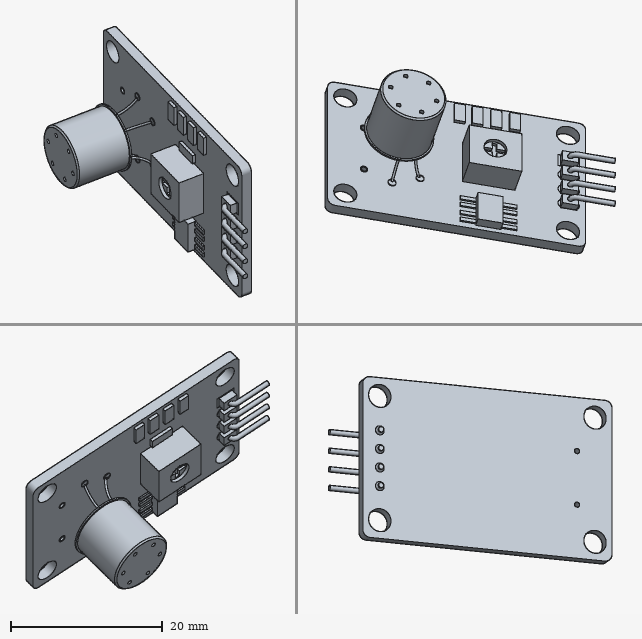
import cadquery as cq
import math


board_width = 35.0
board_height = 22.0
board_thickness = 1.5
corner_radius = 1.0
mount_hole_diameter = 3.12
mount_spacing_x = 30.2
mount_spacing_z = 17.0
pad_thickness = 0.02

sensor_x = -8.8
sensor_standoff = 3.78
sensor_front = 11.9
flange_diameter = 9.35
flange_thickness = 0.25
can_diameter = 8.85
can_edge_chamfer = 0.25
vent_count = 6
vent_diameter = 0.58
vent_depth = 0.5
vent_circle_radius = 3.15
vent_start_angle = 50

wire_diameter = 0.3
wire_can_radius = 3.28
wire_can_turn = 4
wire_board_radius = 5.1
terminal_circle_radius = 5.28
side_angle = 44
wired_angles = [90, side_angle, -side_angle, -90]
open_angles = [180 - side_angle, 180 + side_angle]
solder_dot_diameter = 1.08
solder_dot_height = 0.1
open_hole_diameter = 0.7
open_pad_diameter = 1.0

resistor_thickness = 0.45
row_resistor_width = 1.45
row_resistor_top = 10.4
row_resistor_length = 3.0
row_end_resistor_length = 2.9
row_resistor_xs = [0.35, 2.75, 5.28, 7.82]
flat_resistor_x = 4.1
flat_resistor_z = 4.8
flat_resistor_width = 3.4
flat_resistor_height = 1.4

trimmer_x = 4.3
trimmer_z = 0.42
trimmer_width = 7.13
trimmer_height = 6.7
trimmer_depth = 3.8
screw_diameter = 3.1
screw_recess_depth = 0.5
slot_width = 0.6
slot_length_x = 2.85
slot_length_z = 2.5
slot_depth = 0.42

chip_x = 4.28
chip_z = -7.98
chip_width = 3.4
chip_height = 4.75
chip_thickness = 1.27
lead_span = 7.7
lead_width = 0.58
lead_thickness = 0.25
lead_zs = [-6.0, -7.15, -8.65, -9.83]

pin_count = 4
pin_pitch = 2.55
pin_row_z = -0.05
pin_diameter = 0.75
pin_x = 15.1
pin_tip_x = 21.05
pin_back_length = 0.58
pin_front_offset = 1.6
pin_bend_radius = 0.8
block_x = 15.2
block_width = 2.2
block_height = 1.65
block_front = 1.05
header_pad_width = 2.9
square_pad_height = 1.95
slot_pad_height = 1.55
solder_cone_diameter = 1.25
solder_cone_height = 0.35

pin_zs = [pin_row_z + ((pin_count - 1) / 2 - i) * pin_pitch for i in range(pin_count)]


def front_plane(x, z, y=0):
    """Sketch plane facing -Y: its own x is X, its own y is Z and it extrudes toward -Y."""
    return cq.Workplane(cq.Plane(origin=(x, y, z), xDir=(1, 0, 0), normal=(0, -1, 0)))


def back_plane(x, z, y):
    """Sketch plane facing +Y that extrudes toward +Y."""
    return cq.Workplane(cq.Plane(origin=(x, y, z), xDir=(-1, 0, 0), normal=(0, 1, 0)))


def mounted_box(x, z, width, height, thickness):
    """Box standing on the board's front face."""
    return front_plane(x, z).rect(width, height).extrude(thickness)


def around_sensor(radius, angle):
    """X and Z of a point on a circle around the sensor axis."""
    turn = math.radians(angle)
    return sensor_x + radius * math.cos(turn), radius * math.sin(turn)


def make_plate():
    plate = back_plane(0, 0, 0).rect(board_width, board_height).extrude(board_thickness)
    plate = plate.edges("|Y").fillet(corner_radius)
    mount_holes = (
        back_plane(0, 0, 0)
        .rect(mount_spacing_x, mount_spacing_z, forConstruction=True)
        .vertices()
        .circle(mount_hole_diameter / 2)
        .extrude(board_thickness)
    )
    return plate.cut(mount_holes)


def make_sensor():
    """Flanged can with a chamfered front edge and a ring of vents in its front face."""
    back = front_plane(sensor_x, 0, -sensor_standoff)
    flange = back.circle(flange_diameter / 2).extrude(flange_thickness)
    can = (
        back.circle(can_diameter / 2)
        .extrude(sensor_front - sensor_standoff)
        .faces("<Y")
        .chamfer(can_edge_chamfer)
    )
    vents = (
        front_plane(sensor_x, 0, vent_depth - sensor_front)
        .polarArray(vent_circle_radius, vent_start_angle, 360, vent_count)
        .circle(vent_diameter / 2)
        .extrude(vent_depth)
    )
    return flange.union(can).cut(vents)


def make_wire(angle):
    """Wire leaving the can straight along +Y and bending outward in one arc to the board."""
    start_x, start_z = around_sensor(wire_can_radius, angle + wire_can_turn)
    end_x, end_z = around_sensor(wire_board_radius, angle)
    outward = cq.Vector(end_x - start_x, 0, end_z - start_z)
    along = cq.Vector(0, 1, 0)
    start = cq.Vector(start_x, -sensor_standoff, start_z)
    path_plane = cq.Plane(origin=start, xDir=outward, normal=outward.cross(along))
    reach = outward.Length
    bend_radius = (reach**2 + sensor_standoff**2) / (2 * reach)
    bend_angle = math.asin(sensor_standoff / bend_radius)
    middle = (
        bend_radius * (1 - math.cos(bend_angle / 2)),
        bend_radius * math.sin(bend_angle / 2),
    )
    path = cq.Workplane(path_plane).threePointArc(middle, (reach, sensor_standoff))
    return back_plane(start_x, start_z, -sensor_standoff).circle(wire_diameter / 2).sweep(path)


def make_solder_dot(angle):
    x, z = around_sensor(terminal_circle_radius, angle)
    return front_plane(x, z).circle(solder_dot_diameter / 2).extrude(solder_dot_height)


def make_trimmer():
    trimmer = mounted_box(trimmer_x, trimmer_z, trimmer_width, trimmer_height, trimmer_depth)
    recess_floor = screw_recess_depth - trimmer_depth
    recess_plane = front_plane(trimmer_x, trimmer_z, recess_floor)
    recess = recess_plane.circle(screw_diameter / 2).extrude(screw_recess_depth)
    slot_plane = front_plane(trimmer_x, trimmer_z, recess_floor + slot_depth)
    slot_across = slot_plane.rect(slot_length_x, slot_width).extrude(slot_depth)
    slot_upright = slot_plane.rect(slot_width, slot_length_z).extrude(slot_depth)
    return trimmer.cut(recess).cut(slot_across).cut(slot_upright)


def make_chip():
    chip = mounted_box(chip_x, chip_z, chip_width, chip_height, chip_thickness)
    for z in lead_zs:
        chip = chip.union(mounted_box(chip_x, z, lead_span, lead_width, lead_thickness))
    return chip


def make_resistors():
    flat_resistor = mounted_box(
        flat_resistor_x, flat_resistor_z, flat_resistor_width, flat_resistor_height, resistor_thickness
    )
    resistors = [flat_resistor]
    for x in row_resistor_xs:
        length = row_end_resistor_length if x == row_resistor_xs[-1] else row_resistor_length
        z = row_resistor_top - length / 2
        resistors.append(mounted_box(x, z, row_resistor_width, length, resistor_thickness))
    return resistors


def make_header_pad(index):
    """Thin pad under a header pin; the first one is square-cornered, the others are round-ended."""
    plane = front_plane(block_x, pin_zs[index])
    if index == 0:
        return plane.rect(header_pad_width, square_pad_height).extrude(pad_thickness)
    return plane.slot2D(header_pad_width, slot_pad_height).extrude(pad_thickness)


def make_solder_cone(z):
    """Cone of solder around a pin on the board's back face."""
    return (
        back_plane(pin_x, z, board_thickness)
        .circle(solder_cone_diameter / 2)
        .workplane(offset=solder_cone_height)
        .circle(pin_diameter / 2)
        .loft()
    )


def make_board():
    """Populated board: the plate with everything that is fixed to it."""
    board = make_plate()
    features = [make_sensor(), make_trimmer(), make_chip()]
    features += make_resistors()
    for angle in wired_angles:
        features += [make_solder_dot(angle), make_wire(angle)]
    for angle in open_angles:
        x, z = around_sensor(terminal_circle_radius, angle)
        features.append(front_plane(x, z).circle(open_pad_diameter / 2).extrude(pad_thickness))
    for index, z in enumerate(pin_zs):
        features += [make_header_pad(index), make_solder_cone(z)]
    for feature in features:
        board = board.union(feature)

    hole_start = -pad_thickness
    hole_length = pad_thickness + board_thickness + solder_cone_height
    for angle in open_angles:
        x, z = around_sensor(terminal_circle_radius, angle)
        board = board.cut(back_plane(x, z, hole_start).circle(open_hole_diameter / 2).extrude(hole_length))
    for z in pin_zs:
        board = board.cut(back_plane(pin_x, z, hole_start).circle(pin_diameter / 2).extrude(hole_length))
    return board


def make_header_pin(z):
    """Round pin bent a quarter turn from the board toward +X, with its insulating block."""
    pin_back = board_thickness + pin_back_length
    path = (
        cq.Workplane(cq.Plane(origin=(pin_x, pin_back, z), xDir=(1, 0, 0), normal=(0, 0, 1)))
        .lineTo(0, pin_bend_radius - pin_front_offset - pin_back)
        .tangentArcPoint((pin_bend_radius, -pin_front_offset - pin_back), relative=False)
        .lineTo(pin_tip_x - pin_x, -pin_front_offset - pin_back)
    )
    pin = front_plane(pin_x, z, pin_back).circle(pin_diameter / 2).sweep(path)
    block = (
        front_plane(block_x, z, -pad_thickness)
        .rect(block_width, block_height)
        .extrude(block_front - pad_thickness)
    )
    return pin.union(block)


board = make_board()
header_pins = [make_header_pin(z) for z in pin_zs]

result = cq.Compound.makeCompound([board.val(), *[pin.val() for pin in header_pins]])